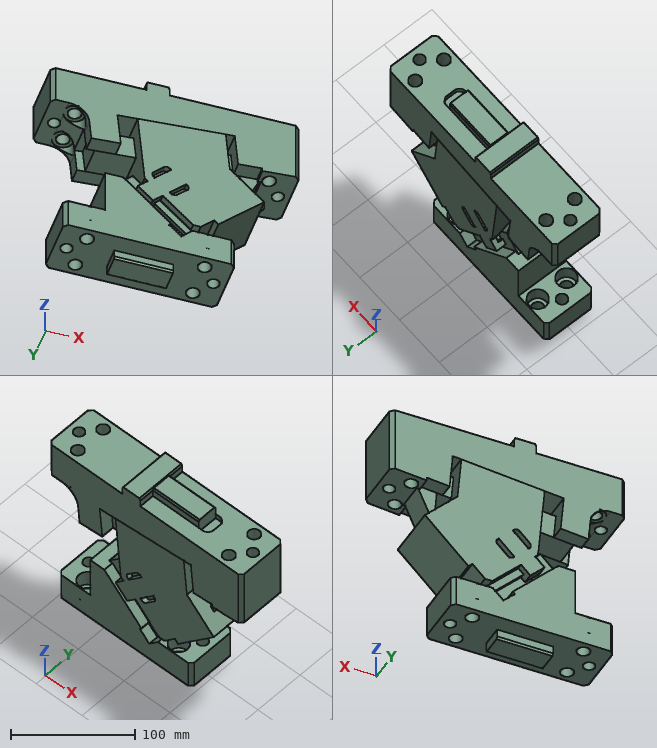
import cadquery as cq
import math


unit_width = 50.0
half_width = unit_width / 2
end_chamfer = 3.4
key_length = 50.0
key_width = 20.0
key_height = 9.0
key_bevel_height = 2.0
key_bevel_width = 1.0
bolt_dia = 11.3
bolt_spacing = 30.0
head_dia = 18.0
dowel_dia = 10.0
dowel_inset = 10.3
bolt_inset = 22.7

driver_length = 210
driver_top = 180.0
driver_end_bottom = 143.0
leg_fillet = 17.6
stop_bar_start = 80.2
stop_bar_end = 100.0
top_slot_end = 160.5
top_slot_depth = 5.0
top_slot_corner = 6.0

travel_tilt = 5
pocket_corner_x = 55.6
pocket_corner_z = 142.2
pocket_length = 99.8
leg_outer = -25.0
leg_depth = 32.1
lug_start = 120.1
lug_depth = 35.0

block_left = 17.2
block_right = 92.0
rail_width = 24.4
rail_top_depth = 9.7
rail_left = -18.0
rail_right = 122.8
gusset_left = 105.0
gusset_tip_depth = 64.7

slider_bottom = 16.2
slider_shoulder = 36.8
slider_back = 91.8
slider_lower_end = 71.8
slider_upper_end = 76.9
clipped_corner_z = 35.0
clip_centre = 21.8
clip_width = 18.0
clip_thickness = 5.0
clip_bottom = 4.5
clip_seat_width = 28.1
clip_seat_bottom = 24.8
clip_seat_top = 44.3
clip_seat_corner = 3.4

base_left = 10.5
base_length = 145.0
base_plate_height = 28.1
ramp_front_x = 45.4
ramp_edge_x = 60.7
ramp_edge_z = 71.2
relief_start = 57.3
relief_depth = 2.5
head_seat_z = 12.5

guide_start = -2.7
guide_half_width = 15.3
guide_shoulder = 18.5
guide_flat_half_width = 3.2
roof_angle = 30
ledge_half_width = 18.5
ledge_start = 16.4
ledge_bottom = 9.7
apex_relief = 1.9

base_right = base_left + base_length
tilt_slope = math.tan(math.radians(travel_tilt))
roof_slope = math.tan(math.radians(roof_angle))
guide_peak = guide_shoulder + (guide_half_width - guide_flat_half_width) * roof_slope
clip_start = clip_centre - clip_width / 2
clip_inner_y = half_width - clip_thickness


def on_travel(along, depth):
    """X and Z of a point of the driver's tilted frame."""
    tilt = math.radians(travel_tilt)
    x = pocket_corner_x + along * math.cos(tilt) + depth * math.sin(tilt)
    z = pocket_corner_z + along * math.sin(tilt) - depth * math.cos(tilt)
    return x, z


def on_ramp(run, height):
    """X and Z of a point of the 45 degree ramp frame."""
    diagonal = math.sqrt(0.5)
    return ramp_edge_x + (run + height) * diagonal, ramp_edge_z + (height - run) * diagonal


def depth_at_x(x, depth):
    """Z where the line at this depth of the tilted frame crosses the given X."""
    start_x, start_z = on_travel(0, depth)
    return start_z + (x - start_x) * tilt_slope


def ramp_x_at_z(height, z):
    """X where the line at this height over the ramp crosses the given Z."""
    start_x, start_z = on_ramp(0, height)
    return start_x + start_z - z


def wall_x_at_z(z):
    """X where the plane of the slider's lower end crosses the given Z."""
    end_x, end_z = on_ramp(slider_lower_end, 0)
    return end_x - end_z + z


def flank_foot(along, height):
    """X and Z where a flank square to the tilted travel meets the line at this height over the ramp."""
    flank_x, flank_z = on_travel(along, 0)
    drop = (flank_x - ramp_x_at_z(height, flank_z)) / (1 - tilt_slope)
    return flank_x + drop * tilt_slope, flank_z - drop


def slab(points, y_min, y_max):
    """Outline in X and Z, extruded in Y from y_min to y_max."""
    plane = cq.Workplane("XZ", origin=(0, y_max, 0))
    return plane.polyline(points).close().extrude(y_max - y_min)


def ramp_slab(run_min, run_max, height_min, height_max, y_min, y_max):
    corners = [(run_min, height_min), (run_max, height_min), (run_max, height_max), (run_min, height_max)]
    return slab([on_ramp(*corner) for corner in corners], y_min, y_max)


def travel_slab(along_min, along_max, depth_min, depth_max, y_min, y_max):
    corners = [(along_min, depth_min), (along_max, depth_min), (along_max, depth_max), (along_min, depth_max)]
    return slab([on_travel(*corner) for corner in corners], y_min, y_max)


def ramp_prism(section, run_min, run_max):
    """Section in Y and height, extruded down the ramp from run_min to run_max."""
    x, z = on_ramp(run_min, 0)
    plane = cq.Plane(origin=(x, 0, z), xDir=(0, 1, 0), normal=(1, 0, -1))
    return cq.Workplane(plane).polyline(section).close().extrude(run_max - run_min)


def roof_section(bottom, edge_y, edge_height, flat_y, peak):
    """Symmetric house section: upright sides up to edge_height, then a sloping roof with a flat top."""
    right = [(edge_y, bottom), (edge_y, edge_height), (flat_y, peak)]
    left = [(-y, height) for y, height in reversed(right)]
    return right + left


def key(start_x, seat_z, direction):
    """Key standing key_height off seat_z, up (1) or down (-1), its long outer edges bevelled."""
    shoulder_z = seat_z + direction * (key_height - key_bevel_height)
    tip_z = seat_z + direction * key_height
    half = key_width / 2
    narrow = half - key_bevel_width
    section = [(-half, seat_z), (-half, shoulder_z), (-narrow, tip_z),
               (narrow, tip_z), (half, shoulder_z), (half, seat_z)]
    plane = cq.Workplane("YZ", origin=(start_x, 0, 0))
    return plane.polyline(section).close().extrude(key_length)


def end_holes(end_x, inward, bottom, height):
    """Two bolt holes and a dowel hole near the end of a plate; inward is the X direction to its middle."""
    bolt_x = end_x + inward * bolt_inset
    dowel = cq.Workplane("XY", origin=(end_x + inward * dowel_inset, 0, bottom)).circle(dowel_dia / 2)
    return bolt_cylinders(bolt_x, bolt_dia, bottom, height).union(dowel.extrude(height))


def bolt_cylinders(bolt_x, diameter, bottom, height):
    plane = cq.Workplane("XY", origin=(bolt_x, 0, bottom))
    centres = [(0, -bolt_spacing / 2), (0, bolt_spacing / 2)]
    return plane.pushPoints(centres).circle(diameter / 2).extrude(height)


def driver_body():
    leg_foot_x, leg_foot_z = on_travel(leg_outer, leg_depth)
    leg_top_x = leg_foot_x - (driver_end_bottom - leg_foot_z) * tilt_slope
    outline = [
        (0, driver_top),
        (0, driver_end_bottom),
        (leg_top_x, driver_end_bottom),
        (leg_foot_x, leg_foot_z),
        on_travel(0, leg_depth),
        on_travel(0, 0),
        on_travel(pocket_length, 0),
        on_travel(pocket_length, leg_depth),
        on_travel(lug_start, leg_depth),
        on_travel(lug_start, lug_depth),
        (driver_length, depth_at_x(driver_length, lug_depth)),
        (driver_length, driver_top),
    ]
    body = slab(outline, -half_width, half_width)
    body = body.edges("|Z and (<X or >X)").chamfer(end_chamfer)
    leg_corner = cq.selectors.NearestToPointSelector((leg_top_x, 0, driver_end_bottom))
    body = body.edges("|Y").edges(leg_corner).fillet(leg_fillet)

    passage_start = 2 * leg_outer
    body = body.cut(travel_slab(passage_start, rail_right, rail_top_depth, lug_depth,
                                -rail_width / 2, rail_width / 2))

    body = body.cut(end_holes(0, 1, 0, driver_top))
    body = body.cut(end_holes(driver_length, -1, 0, driver_top))
    body = body.cut(bolt_cylinders(bolt_inset, head_dia, 0, driver_end_bottom))

    return add_key_and_stop_bar(body)


def add_key_and_stop_bar(body):
    """Key in a slot that runs on past it to rounded corners, and a stop bar across the top."""
    key_end = stop_bar_end + key_length
    slot_rest = (
        cq.Workplane("XY", origin=(key_end, 0, driver_top - top_slot_depth))
        .rect(top_slot_end - key_end, key_width, centered=(False, True))
        .extrude(top_slot_depth)
        .edges("|Z and >X")
        .fillet(top_slot_corner)
    )
    body = body.cut(slot_rest)
    body = body.union(key(stop_bar_end, driver_top, 1))

    bar_top = driver_top + key_height
    bar_shoulder = bar_top - key_bevel_height
    bar_outline = [
        (stop_bar_start, driver_top),
        (stop_bar_start, bar_shoulder),
        (stop_bar_start + key_bevel_width, bar_top),
        (stop_bar_end - key_bevel_width, bar_top),
        (stop_bar_end, bar_shoulder),
        (stop_bar_end, driver_top),
    ]
    return body.union(slab(bar_outline, -half_width, half_width))


def slider_body():
    clipped_bottom_x = ramp_x_at_z(slider_bottom, clipped_corner_z)
    clipped_end_x = wall_x_at_z(clipped_corner_z)
    outline = [
        on_travel(block_left, 0),
        flank_foot(block_left, slider_bottom),
        (clipped_bottom_x, clipped_corner_z),
        (clipped_end_x, clipped_corner_z),
        on_ramp(slider_lower_end, slider_shoulder),
        on_ramp(slider_upper_end, slider_shoulder),
        on_ramp(slider_upper_end, slider_back),
        flank_foot(block_right, slider_back),
        on_travel(block_right, 0),
    ]
    body = slab(outline, -half_width, half_width)

    groove_start = -slider_upper_end
    groove_y = guide_half_width + (guide_shoulder - slider_bottom) / roof_slope
    groove = roof_section(0, groove_y, slider_bottom, guide_flat_half_width, guide_peak)
    body = body.cut(ramp_prism(groove, groove_start, slider_upper_end))
    relief_top = guide_peak + apex_relief
    relief = [(-guide_flat_half_width, 0), (guide_flat_half_width, 0),
              (guide_flat_half_width, relief_top), (-guide_flat_half_width, relief_top)]
    body = body.cut(ramp_prism(relief, groove_start, slider_upper_end))

    body = body.union(travel_slab(rail_left, rail_right, rail_top_depth, leg_depth,
                                  -rail_width / 2, rail_width / 2))
    gusset = [on_travel(gusset_left, leg_depth), on_travel(gusset_left, gusset_tip_depth),
              on_travel(rail_right, leg_depth)]
    body = body.union(slab(gusset, -rail_width / 2, rail_width / 2))

    for side in (-1, 1):
        body = body.cut(clip_seat(side))
        body = body.union(clip(side))
    return body


def clip_seat(side):
    x, z = on_ramp(clip_centre, (clip_seat_bottom + clip_seat_top) / 2)
    plane = cq.Plane(origin=(x, side * half_width, z), xDir=(1, 0, -1), normal=(0, -side, 0))
    seat = cq.Workplane(plane).rect(clip_seat_width, clip_seat_top - clip_seat_bottom).extrude(clip_thickness)
    return seat.edges("|Y").fillet(clip_seat_corner)


def clip(side):
    clip_end = clip_start + clip_width
    plate_y = sorted((side * half_width, side * clip_inner_y))
    foot_y = sorted((side * half_width, side * guide_half_width))
    plate = ramp_slab(clip_start, clip_end, clip_bottom, clip_seat_top, *plate_y)
    foot = ramp_slab(clip_start, clip_end, clip_bottom, ledge_bottom, *foot_y)
    return plate.union(foot)


def base_body():
    wall_top_x = wall_x_at_z(base_plate_height)
    outline = [
        (base_left, 0),
        (base_left, base_plate_height),
        (ramp_front_x, base_plate_height),
        (ramp_front_x, ramp_edge_z),
        (ramp_edge_x, ramp_edge_z),
        on_ramp(relief_start, 0),
        on_ramp(relief_start, -relief_depth),
        on_ramp(slider_lower_end, -relief_depth),
        (wall_top_x, base_plate_height),
        (base_right, base_plate_height),
        (base_right, 0),
    ]
    body = slab(outline, -half_width, half_width)
    body = body.edges("|Z and (<X or >X)").chamfer(end_chamfer)

    guide = roof_section(-relief_depth, guide_half_width, guide_shoulder, guide_flat_half_width, guide_peak)
    body = body.union(ramp_prism(guide, guide_start, slider_lower_end))
    ledge_edge = guide_peak - (ledge_half_width - guide_flat_half_width) * roof_slope
    ledge = roof_section(ledge_bottom, ledge_half_width, ledge_edge, guide_flat_half_width, guide_peak)
    body = body.union(ramp_prism(ledge, ledge_start, slider_lower_end))

    for end, inward in ((base_left, 1), (base_right, -1)):
        body = body.cut(end_holes(end, inward, 0, base_plate_height))
        head_height = base_plate_height - head_seat_z
        body = body.cut(bolt_cylinders(end + inward * bolt_inset, head_dia, head_seat_z, head_height))

    key_start = (base_left + base_right - key_length) / 2
    return body.union(key(key_start, 0, -1))


driver = driver_body()
slider = slider_body()
base = base_body()

result = cq.Compound.makeCompound([driver.solids().val(), slider.solids().val(), base.solids().val()])